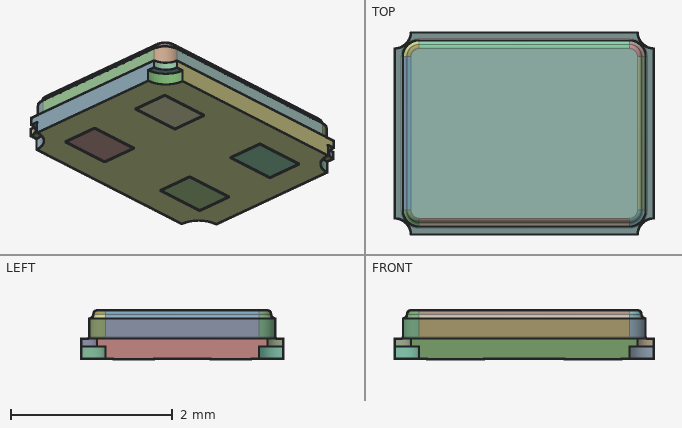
import cadquery as cq
import math

length = 3.2
width = 2.5
height = 0.61

pad_thickness = 0.01
pad_length = 0.7
pad_width = 0.5
pad_inset = 0.4

base_top = 0.26
notch_step = 0.16
lower_notch_radius = 0.3
upper_notch_radius = 0.2

lid_inset = 0.1
lid_corner_radius = 0.2
rim_radius = 0.05
seal_radius = 0.02

lid_wall = -width / 2 + lid_inset
rim_bottom = height - 2 * rim_radius
rim_middle = height - rim_radius


def rounded_lid_plate():
    return (
        cq.Workplane("XY")
        .workplane(offset=base_top)
        .rect(length - 2 * lid_inset, width - 2 * lid_inset)
        .extrude(height - base_top)
        .edges("|Z")
        .fillet(lid_corner_radius)
    )


def corner_notches(radius, bottom, top):
    """Cylinders centred on the four vertical edges of the base."""
    return (
        cq.Workplane("XY")
        .workplane(offset=bottom)
        .rect(length, width, forConstruction=True)
        .vertices()
        .circle(radius)
        .extrude(top - bottom)
    )


def make_base():
    block = (
        cq.Workplane("XY")
        .workplane(offset=pad_thickness)
        .rect(length, width)
        .extrude(base_top - pad_thickness)
    )
    lower_notches = corner_notches(lower_notch_radius, 0, notch_step)
    upper_notches = corner_notches(upper_notch_radius, notch_step, base_top)
    return block.cut(lower_notches).cut(upper_notches)


def make_pads():
    spacing_x = length - 2 * pad_inset - pad_length
    spacing_y = width - 2 * pad_inset - pad_width
    return (
        cq.Workplane("XY")
        .rect(spacing_x, spacing_y, forConstruction=True)
        .vertices()
        .rect(pad_length, pad_width)
        .extrude(pad_thickness)
    )


def make_lid():
    """Plate with an S-shaped rim at the top and a concave seal fillet around its foot."""
    plate = rounded_lid_plate()
    outline = plate.faces("<Z").wires()

    crown_wall = lid_wall + rim_radius
    crown_edge = crown_wall + rim_radius
    rim_offset = rim_radius * math.sqrt(0.5)
    rim_waste = (
        cq.Workplane("YZ")
        .moveTo(lid_wall, rim_bottom)
        .threePointArc((lid_wall + rim_offset, rim_middle - rim_offset), (crown_wall, rim_middle))
        .threePointArc((crown_edge - rim_offset, rim_middle + rim_offset), (crown_edge, height))
        .lineTo(lid_wall, height)
        .close()
        .sweep(outline)
    )

    seal_edge = lid_wall - seal_radius
    seal_top = base_top + seal_radius
    seal_offset = seal_radius * math.sqrt(0.5)
    seal = (
        cq.Workplane("YZ")
        .moveTo(lid_wall, base_top)
        .lineTo(lid_wall, seal_top)
        .threePointArc((seal_edge + seal_offset, seal_top - seal_offset), (seal_edge, base_top))
        .close()
        .sweep(outline)
    )
    return plate.cut(rim_waste).union(seal)


result = make_base().union(make_pads()).union(make_lid())